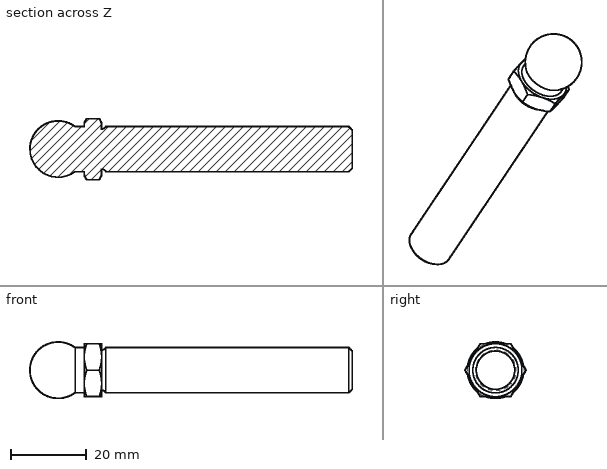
import cadquery as cq
import math

total_length = 85.0
ball_diameter = 15.0
shaft_diameter = 12.0
relief_diameter = 10.7
hex_across_corners = 16.15
hex_start = 14.4
hex_width = 4.6
shaft_start = 20.1
end_chamfer = 0.9
hex_chamfer_angle = 30.0

ball_radius = ball_diameter / 2
shaft_radius = shaft_diameter / 2
relief_radius = relief_diameter / 2
hex_end = hex_start + hex_width
corner_radius = hex_across_corners / 2
flat_radius = corner_radius * math.cos(math.pi / 6)
neck_start = ball_radius + math.sqrt(ball_radius**2 - shaft_radius**2)


def make_stud():
    """Ball, neck, concave relief and shaft as one revolved profile."""
    relief_length = shaft_start - hex_end
    relief_depth = shaft_radius - relief_radius
    arc_radius = (relief_length**2 + relief_depth**2) / (2 * relief_depth)
    half_sweep = math.asin(relief_length / arc_radius) / 2
    relief_middle = (
        hex_end + arc_radius * math.sin(half_sweep),
        relief_radius + arc_radius * (1 - math.cos(half_sweep)),
    )
    profile = (
        cq.Workplane("XY")
        .moveTo(0, 0)
        .threePointArc((ball_radius, ball_radius), (neck_start, shaft_radius))
        .lineTo(hex_end, shaft_radius)
        .lineTo(hex_end, relief_radius)
        .threePointArc(relief_middle, (shaft_start, shaft_radius))
        .lineTo(total_length - end_chamfer, shaft_radius)
        .lineTo(total_length, shaft_radius - end_chamfer)
        .lineTo(total_length, 0)
        .close()
    )
    return profile.revolve(360, (0, 0, 0), (1, 0, 0))


def make_hex_collar():
    """Hexagon with corners on the Y axis, its corners bevelled conically on both sides."""
    hexagon = (
        cq.Workplane("YZ", origin=(hex_start, 0, 0))
        .polygon(6, hex_across_corners)
        .extrude(hex_width)
    )
    bevel_depth = corner_radius - flat_radius
    bevel_length = bevel_depth * math.tan(math.radians(hex_chamfer_angle))
    bevel_envelope = (
        cq.Workplane("XY")
        .moveTo(hex_start, 0)
        .lineTo(hex_start, flat_radius)
        .lineTo(hex_start + bevel_length, corner_radius)
        .lineTo(hex_end - bevel_length, corner_radius)
        .lineTo(hex_end, flat_radius)
        .lineTo(hex_end, 0)
        .close()
        .revolve(360, (0, 0, 0), (1, 0, 0))
    )
    return hexagon.intersect(bevel_envelope)


result = make_stud().union(make_hex_collar())